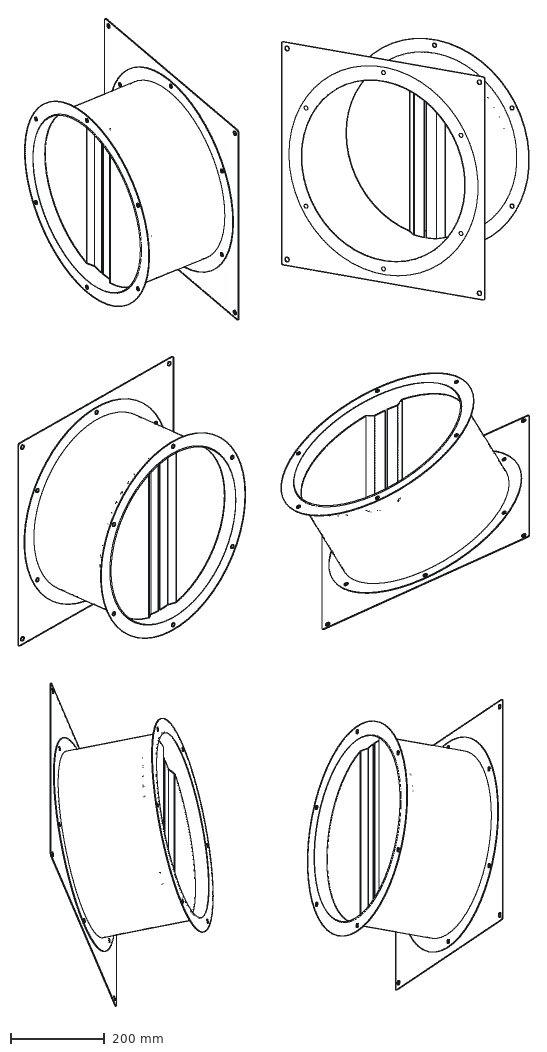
import cadquery as cq
import math

plate_side = 500.0
total_depth = 222.0
sheet = 2.0

corner_radius = 5.0
plate_hole_spacing = 473.0
plate_hole_diameter = 10.0

bore_diameter = 402.0
wall = 2.0
flange_diameter = 465.0
bolt_circle_diameter = 440.0
bolt_hole_diameter = 9.0
bolt_count = 6

flap_clearance = 1.0
flap_gap = 5.0
strip_width = 25.0
slope_width = 16.0
slope_depth = 10.0
flap_setback = 30.0

flap_radius = bore_diameter / 2 - flap_clearance
tube_diameter = bore_diameter + 2 * wall
plate_front = total_depth - sheet
back_flange_front = plate_front - sheet


def disc(diameter, front, depth):
    """Cylinder about the duct axis, running back from the given front face."""
    return cq.Workplane("XZ", origin=(0, front, 0)).circle(diameter / 2).extrude(-depth)


def bolt_holes():
    """Cutters for the bolt circle, long enough to pass both duct flanges."""
    return (
        cq.Workplane("XZ")
        .polarArray(bolt_circle_diameter / 2, 90, 360, bolt_count)
        .circle(bolt_hole_diameter / 2)
        .extrude(-plate_front)
    )


def make_plate():
    """Square plate with rounded corners, a central opening and four corner holes."""
    plane = cq.Workplane("XZ", origin=(0, plate_front, 0))
    plate = plane.rect(plate_side, plate_side).extrude(-sheet).edges("|Y").fillet(corner_radius)
    corner_holes = (
        plane.rect(plate_hole_spacing, plate_hole_spacing, forConstruction=True)
        .vertices()
        .circle(plate_hole_diameter / 2)
        .extrude(-sheet)
    )
    opening = disc(bore_diameter, plate_front, sheet)
    return plate.cut(corner_holes).cut(opening)


def make_duct():
    """Round tube with a bolted flange at each end."""
    tube = disc(tube_diameter, 0, plate_front)
    front_flange = disc(flange_diameter, 0, sheet)
    back_flange = disc(flange_diameter, back_flange_front, sheet)
    bore = disc(bore_diameter, 0, plate_front)
    return tube.union(front_flange).union(back_flange).cut(bore).cut(bolt_holes())


def make_flap(side):
    """Bent half-round flap; side is -1 for the -X flap and +1 for the +X flap."""
    slit_edge = flap_gap / 2
    slope_start = slit_edge + strip_width
    slope_end = slope_start + slope_width
    strip_front = flap_setback + slope_depth
    bend_shift = sheet * math.tan(math.atan2(slope_depth, slope_width) / 2)
    profile = [
        (slit_edge, strip_front),
        (slope_start, strip_front),
        (slope_end, flap_setback),
        (flap_radius, flap_setback),
        (flap_radius, flap_setback + sheet),
        (slope_end + bend_shift, flap_setback + sheet),
        (slope_start + bend_shift, strip_front + sheet),
        (slit_edge, strip_front + sheet),
    ]
    bent_sheet = (
        cq.Workplane("XY")
        .polyline([(side * x, y) for x, y in profile])
        .close()
        .extrude(flap_radius, both=True)
    )
    return bent_sheet.intersect(disc(2 * flap_radius, 0, plate_front))


plate = make_plate()
duct = make_duct()
flaps = [make_flap(side) for side in (-1, 1)]

centre_shift = cq.Vector(0, -total_depth / 2, 0)
bodies = [plate, duct, *flaps]
result = cq.Compound.makeCompound([body.val().translate(centre_shift) for body in bodies])